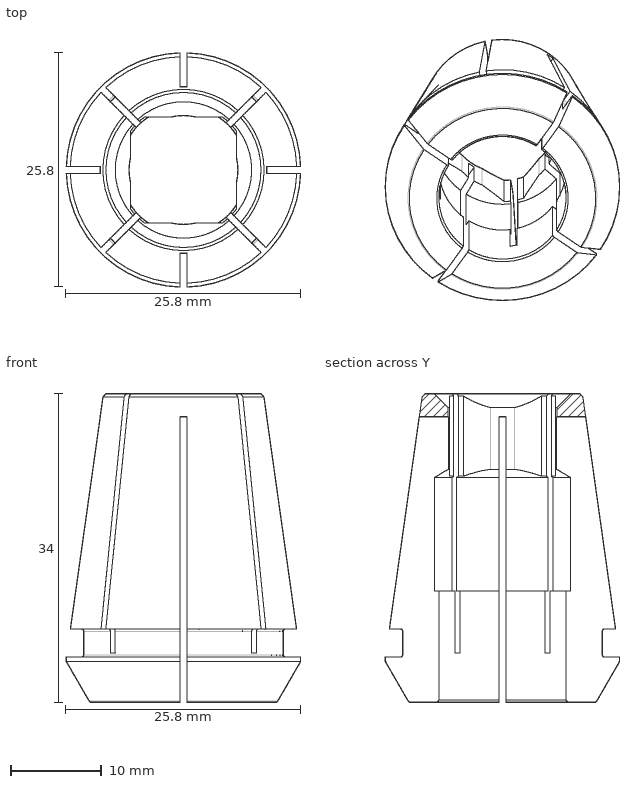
import cadquery as cq
import math

height = 34.0
taper_angle = 8.0
taper_bottom_z = 8.05
taper_bottom_radius = 12.48
top_chamfer = 0.35

groove_radius = 11.0
groove_bottom_z = 5.0
groove_fillet = 0.25

flange_diameter = 25.85
flange_radius = flange_diameter / 2
flange_edge_height = 0.5
nose_angle = 30.0
nose_chamfer = 0.15

shank_radius = 7.0
shank_length = 12.25
shank_chamfer = 0.25
relief_radius = 7.5
relief_top_z = 24.75
drill_tip_angle = 118.0
pilot_radius = 6.0
square_width = 11.65
square_corner_radius = 7.25
mouth_radius = relief_radius
mouth_angle = 45.0

slot_width = 0.75
bottom_slot_top_z = 31.45
top_slot_floor_z = 5.45


def cone_drop(outer_radius, inner_radius, angle):
    """Axial length of a cone between two radii, angle measured from the axis to the side."""
    return (outer_radius - inner_radius) / math.tan(math.radians(angle))


def outer_body():
    """Solid of revolution: nose cone, flange, filleted groove and main taper."""
    taper_tan = math.tan(math.radians(taper_angle))
    chamfer_z = height - top_chamfer
    chamfer_radius = taper_bottom_radius - (chamfer_z - taper_bottom_z) * taper_tan
    flange_bottom_z = groove_bottom_z - flange_edge_height
    nose_tan = math.tan(math.radians(nose_angle))
    nose_radius = flange_radius - (flange_bottom_z - nose_chamfer) * nose_tan
    return (
        cq.Workplane("XZ")
        .lineTo(nose_radius - nose_chamfer, 0)
        .lineTo(nose_radius, nose_chamfer)
        .lineTo(flange_radius, flange_bottom_z)
        .lineTo(flange_radius, groove_bottom_z)
        .lineTo(groove_radius + groove_fillet, groove_bottom_z)
        .radiusArc((groove_radius, groove_bottom_z + groove_fillet), groove_fillet)
        .lineTo(groove_radius, taper_bottom_z - groove_fillet)
        .radiusArc((groove_radius + groove_fillet, taper_bottom_z), groove_fillet)
        .lineTo(taper_bottom_radius, taper_bottom_z)
        .lineTo(chamfer_radius, chamfer_z)
        .lineTo(chamfer_radius - top_chamfer, height)
        .lineTo(0, height)
        .close()
        .revolve(360, (0, 0), (0, 1))
    )


def round_bore():
    """Shank hole, relief with its drill-point shoulder, pilot hole and the flared mouth."""
    shoulder_z = relief_top_z + cone_drop(relief_radius, pilot_radius, drill_tip_angle / 2)
    mouth_z = height - cone_drop(mouth_radius, pilot_radius, mouth_angle)
    profile = [
        (0, 0),
        (shank_radius + shank_chamfer, 0),
        (shank_radius, shank_chamfer),
        (shank_radius, shank_length),
        (relief_radius, shank_length),
        (relief_radius, relief_top_z),
        (pilot_radius, shoulder_z),
        (pilot_radius, mouth_z),
        (mouth_radius, height),
        (0, height),
    ]
    return cq.Workplane("XZ").polyline(profile).close().revolve(360, (0, 0), (0, 1))


def square_socket():
    """Square prism with its corners rounded on a common circle."""
    depth = height - relief_top_z
    base = cq.Workplane("XY").workplane(offset=relief_top_z)
    corner_circle = base.circle(square_corner_radius).extrude(depth)
    return base.rect(square_width, square_width).extrude(depth).intersect(corner_circle)


def crossed_slots(bottom_z, top_z, angle):
    """Two full-width slots crossing on the axis, turned about Z by the angle."""
    length = 2 * flange_diameter
    slots = cq.Workplane("XY").workplane(offset=bottom_z)
    slots = slots.rect(length, slot_width).extrude(top_z - bottom_z)
    crossed = slots.union(slots.rotate((0, 0, 0), (0, 0, 1), 90))
    return crossed.rotate((0, 0, 0), (0, 0, 1), angle)


result = (
    outer_body()
    .cut(round_bore())
    .cut(square_socket())
    .cut(crossed_slots(0, bottom_slot_top_z, 0))
    .cut(crossed_slots(top_slot_floor_z, height, 45))
)